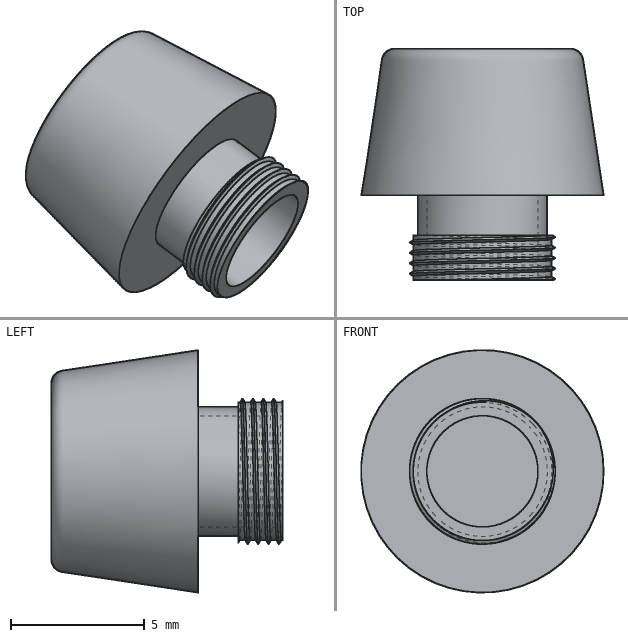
import cadquery as cq
import math

cap_radius = 4.55
total_length = 8.68
stem_length = 3.18
cap_height = total_length - stem_length
cap_taper_angle = 8.6
cap_edge_radius = 0.5

bore_radius = 2.08
neck_radius = 2.43
collar_radius = 2.59
collar_length = 1.67

crest_radius = 2.73
thread_pitch = 0.39
ridge_width = 0.17
ridge_root_overlap = 0.04
trim_margin = 0.09
first_crest_height = 0.05


def make_cap():
    """Solid tapered cap with a rounded rim at its closed end."""
    end_radius = cap_radius - cap_height * math.tan(math.radians(cap_taper_angle))
    profile = (
        cq.Workplane("XY")
        .polyline([(0, 0), (cap_radius, 0), (end_radius, cap_height), (0, cap_height)])
        .close()
    )
    cone = profile.revolve(360, (0, 0, 0), (0, 1, 0))
    return cone.faces(">Y").edges().fillet(cap_edge_radius)


def make_thread():
    """Helical ridge around Z, trimmed flat at both ends of the collar."""
    start_height = first_crest_height - thread_pitch
    turns = math.ceil(collar_length / thread_pitch) + 2
    root_radius = collar_radius - ridge_root_overlap
    half_root_width = ridge_width / 2 * (crest_radius - root_radius) / (crest_radius - collar_radius)
    helix = cq.Wire.makeHelix(thread_pitch, turns * thread_pitch, root_radius)
    ridge = (
        cq.Workplane("XZ")
        .polyline([
            (root_radius, -half_root_width),
            (crest_radius, 0),
            (root_radius, half_root_width),
        ])
        .close()
        .sweep(cq.Workplane(helix), isFrenet=True)
        .translate((0, 0, start_height))
    )
    envelope = cq.Workplane("XY").circle(crest_radius + trim_margin).extrude(collar_length)
    return ridge.intersect(envelope)


def make_stem():
    """Threaded tube, built tip-down on Z and then laid along Y against the cap."""
    neck = cq.Workplane("XY").circle(neck_radius).extrude(stem_length)
    collar = cq.Workplane("XY").circle(collar_radius).extrude(collar_length)
    bore = cq.Workplane("XY").circle(bore_radius).extrude(stem_length)
    tube = neck.union(collar).cut(bore).union(make_thread())
    return tube.rotate((0, 0, 0), (1, 0, 0), -90).translate((0, -stem_length, 0))


cap = make_cap()
stem = make_stem()

result = cq.Compound.makeCompound([cap.val(), *stem.vals()])